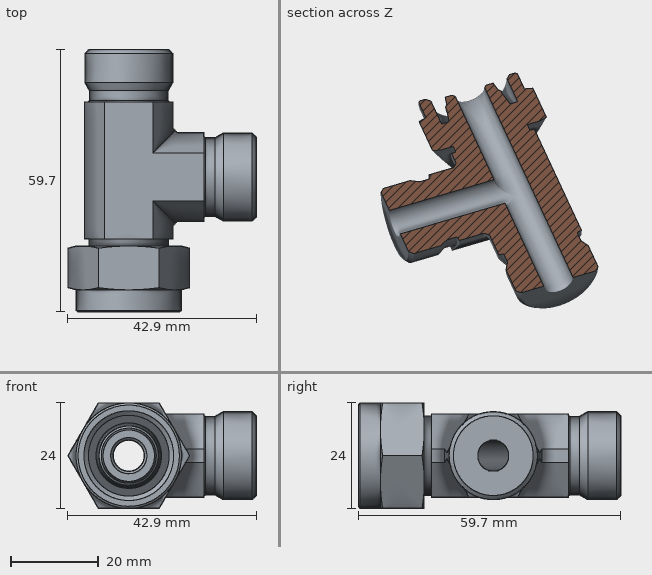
import cadquery as cq
import math


body_flats = 19.0
body_width = 20.2
body_reach = 17.1
body_nut_end = 14.1
crotch_fill = 0.95

port_reach = 29.0
thread_radius = 10.0
port_neck_radius = 8.95
port_base_radius = 9.2
port_base_length = 0.35
cone_start = 19.65
thread_start = 21.55
thread_chamfer = 0.95

nut_flats = 24.0
nut_top = 15.7
nut_hex_length = 9.95
nut_end = 30.7
nut_neck_radius = 9.1
nut_corner_angle = 15
collar_radius = nut_flats / 2
collar_chamfer_depth = 0.35
collar_chamfer_width = 0.5
mouth_radius = 10.2
recess_radius = 9.2
mouth_depth = 0.95

spigot_setback = 1.0
spigot_tip_radius = 5.85
spigot_cone_radius = 6.25
spigot_cone_length = 2.25
spigot_bead_radius = 6.75
spigot_bead_length = 1.1
spigot_bead_bulge = 0.25
spigot_root_radius = 7.45
spigot_root_length = 3.6

bore_radius = 3.5
bore_chamfer = 0.6


def revolve_along_y(points):
    """Solid of revolution about Y from a closed (radius, y) outline."""
    return cq.Workplane("XY").polyline(points).close().revolve(360, (0, 0, 0), (0, 1, 0))


def hex_bar(flats, y_low, y_high):
    """Hexagonal bar along Y with two flats horizontal."""
    corner_diameter = 2 * flats / math.sqrt(3)
    bar = cq.Workplane("XZ").polygon(6, corner_diameter).extrude(y_high - y_low)
    return bar.translate((0, y_high, 0))


def to_branch(solid):
    """Turn a solid from +Y to +X."""
    return solid.rotate((0, 0, 0), (0, 0, 1), -90)


def make_body():
    run = hex_bar(body_flats, -body_nut_end, body_reach)
    branch = to_branch(hex_bar(body_flats, 0, body_reach))
    half = body_width / 2
    inner = half + crotch_fill
    plan = (
        cq.Workplane("XY")
        .moveTo(-half, -body_nut_end)
        .lineTo(half, -body_nut_end)
        .lineTo(half, -inner)
        .lineTo(inner, -half)
        .lineTo(body_reach, -half)
        .lineTo(body_reach, half)
        .lineTo(inner, half)
        .lineTo(half, inner)
        .lineTo(half, body_reach)
        .lineTo(-half, body_reach)
        .close()
        .extrude(body_flats, both=True)
    )
    return run.union(branch).intersect(plan)


def make_port():
    return revolve_along_y([
        (0, 0),
        (port_base_radius, 0),
        (port_base_radius, body_reach),
        (port_neck_radius, body_reach + port_base_length),
        (port_neck_radius, cone_start),
        (thread_radius, thread_start),
        (thread_radius, port_reach - thread_chamfer),
        (thread_radius - thread_chamfer, port_reach),
        (0, port_reach),
    ])


def make_nut():
    nut_bottom = nut_top + nut_hex_length
    corner_radius = nut_flats / math.sqrt(3)
    corner_drop = (corner_radius - collar_radius) * math.tan(math.radians(nut_corner_angle))
    corner_cones = revolve_along_y([
        (0, -nut_top),
        (collar_radius, -nut_top),
        (corner_radius, -nut_top - corner_drop),
        (corner_radius, -nut_bottom + corner_drop),
        (collar_radius, -nut_bottom),
        (0, -nut_bottom),
    ])
    hexagon = hex_bar(nut_flats, -nut_bottom, -nut_top).intersect(corner_cones)
    collar = revolve_along_y([
        (0, -nut_bottom),
        (collar_radius, -nut_bottom),
        (collar_radius, -nut_end + collar_chamfer_depth),
        (collar_radius - collar_chamfer_width, -nut_end),
        (0, -nut_end),
    ])
    neck = revolve_along_y([
        (0, 0),
        (nut_neck_radius, 0),
        (nut_neck_radius, -nut_top),
        (0, -nut_top),
    ])
    return hexagon.union(collar).union(neck)


def make_recess():
    """Ring-shaped space between the nut wall and the sealing spigot."""
    tip = -nut_end + spigot_setback
    cone_end = tip + spigot_cone_length
    bead_end = cone_end + spigot_bead_length
    floor = bead_end + spigot_root_length
    bead_rise = spigot_bead_radius - spigot_cone_radius
    bead_chord = math.hypot(bead_rise, spigot_bead_length)
    bead_crest = (
        (spigot_cone_radius + spigot_bead_radius) / 2 + spigot_bead_bulge * spigot_bead_length / bead_chord,
        (cone_end + bead_end) / 2 - spigot_bead_bulge * bead_rise / bead_chord,
    )
    return (
        cq.Workplane("XY")
        .moveTo(0, -nut_end)
        .lineTo(mouth_radius, -nut_end)
        .lineTo(recess_radius, -nut_end + mouth_depth)
        .lineTo(recess_radius, floor)
        .lineTo(spigot_root_radius, floor)
        .lineTo(spigot_bead_radius, bead_end)
        .threePointArc(bead_crest, (spigot_cone_radius, cone_end))
        .lineTo(spigot_tip_radius, tip)
        .lineTo(0, tip)
        .close()
        .revolve(360, (0, 0, 0), (0, 1, 0))
    )


def make_bores():
    tip = -nut_end + spigot_setback
    run = revolve_along_y([
        (0, tip),
        (bore_radius + bore_chamfer, tip),
        (bore_radius, tip + bore_chamfer),
        (bore_radius, port_reach),
        (0, port_reach),
    ])
    branch = cq.Workplane("YZ").circle(bore_radius).extrude(port_reach)
    return run.union(branch)


port = make_port()
fitting = make_body().union(port).union(to_branch(port)).union(make_nut())
result = fitting.cut(make_recess()).cut(make_bores())